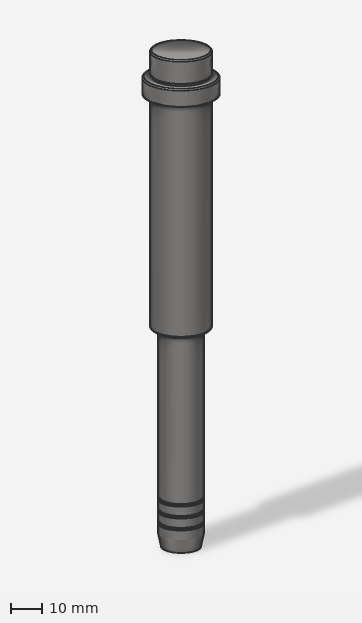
import cadquery as cq

total_length = 170.0
flange_diameter = 25.0
body_diameter = 20.0
pin_diameter = 15.0
head_height = 9.0
flange_height = 6.0
pin_length = 75.0

undercut_width = 0.6
undercut_depth = 0.5
flange_undercut_slope = 0.2
shoulder_undercut_slope = 0.1
edge_chamfer = 0.5

tip_length = 5.0
tip_diameter = 13.0
tip_fillet = 0.5
groove_count = 3
groove_pitch = 4.0
first_groove_z = 8.7
groove_width = 1.0
groove_depth = 0.5
groove_floor_width = 0.3

flange_top = total_length - head_height
flange_bottom = flange_top - flange_height


def cylinder(diameter, bottom, top):
    return cq.Workplane("XY").workplane(offset=bottom).circle(diameter / 2).extrude(top - bottom)


def revolve_section(points):
    """Full revolution about Z of a closed outline given as (radius, z) points."""
    return cq.Workplane("XZ").polyline(points).close().revolve(360, (0, 0), (0, 1))


def tapered_groove(diameter, middle):
    """Ring that cuts a flat-bottomed groove with sloped walls into a shaft of the given diameter."""
    radius = diameter / 2
    floor = radius - groove_depth
    return revolve_section([
        (radius, middle - groove_width / 2),
        (floor, middle - groove_floor_width / 2),
        (floor, middle + groove_floor_width / 2),
        (radius, middle + groove_width / 2),
    ])


def undercut(diameter, shoulder, direction, slope):
    """Ring that cuts an undercut running from a shoulder up (+1) or down (-1), with a sloped far wall."""
    radius = diameter / 2
    floor = radius - undercut_depth
    far_end = shoulder + direction * undercut_width
    floor_end = far_end - direction * slope
    return revolve_section([(radius, shoulder), (floor, shoulder), (floor, floor_end), (radius, far_end)])


def make_pin():
    """Slim lower shaft with its tapered tip and ring grooves."""
    tip = (
        cq.Workplane("XY")
        .circle(tip_diameter / 2)
        .workplane(offset=tip_length)
        .circle(pin_diameter / 2)
        .loft(ruled=True)
        .faces("<Z")
        .edges()
        .fillet(tip_fillet)
    )
    pin = tip.union(cylinder(pin_diameter, tip_length, pin_length))
    for index in range(groove_count):
        middle = first_groove_z + index * groove_pitch
        pin = pin.cut(tapered_groove(pin_diameter, middle))
    return pin.cut(undercut(pin_diameter, pin_length, -1.7, shoulder_undercut_slope))


def make_body():
    """Thick shaft and head, undercut on both sides of the flange."""
    body = cylinder(body_diameter, pin_length, total_length).edges().chamfer(edge_chamfer)
    for shoulder, direction in ((flange_bottom, -1.7), (flange_top, 1.7)):
        body = body.cut(undercut(body_diameter, shoulder, direction, flange_undercut_slope))
    return body


def make_flange():
    return cylinder(flange_diameter, flange_bottom, flange_top).edges(">Z").chamfer(edge_chamfer)


result = make_pin().union(make_body()).union(make_flange())